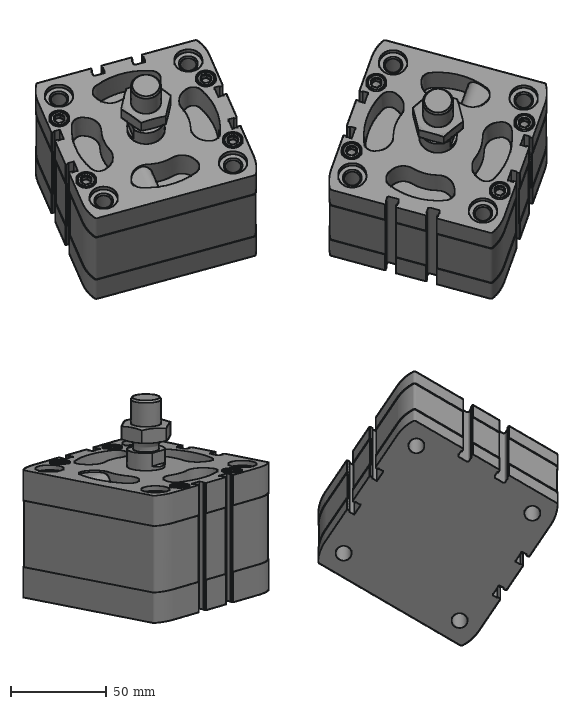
import cadquery as cq
import math


total_height = 106.4
housing_height = 69.0
cap_height = 16.5

cap_width = 95.5
barrel_inset = 0.35
barrel_width = cap_width - 2 * barrel_inset
crown_start = 35.8
crown_radius = 23.5
corner_radius = 1.4

slot_offset = 11.25
slot_mouth_width = 5.5
slot_inner_width = 6.5
slot_lip = 1.8
slot_depth = 4.8
side_slot_depth = 5.2
side_slot_floor_radius = 0.9
slot_lead_in = 0.3

mount_pitch = 72.0
mount_bore = 8.38
mount_chamfer_diameter = 10.0
mount_counterbore = 15.0
mount_counterbore_depth = 2.6

screw_pitch_x = 43.4
screw_pitch_y = 81.6
screw_recess_diameter = 10.7
screw_recess_depth = 2.0
screw_head_diameter = 10.0
screw_head_top_diameter = 8.57
screw_head_chamfer_height = 0.6
socket_across_flats = 5.0
socket_lead_in_diameter = 6.0
socket_depth = 3.0
socket_cone_height = 1.4

pocket_outer_radius = 39.1
pocket_inner_radius = 23.5
pocket_end_distance = 3.8
pocket_end_tilt = 26.0
pocket_outer_fillet = 5.5
pocket_inner_fillet = 9.0
pocket_depth = 14.8
pocket_draft = 3.0

port_boss_diameter = 13.5
port_boss_y = -11.3
port_boss_drop = 1.0

rod_diameter = 20.0
rod_shoulder_z = 78.4
rod_flats_width = 17.0
rod_flats_length = 7.1
rod_flats_runout_angle = 30.0
neck_diameter = 13.5
neck_end_z = 80.7
neck_fillet = 0.8
neck_foot_height = 0.8
neck_foot_flare = 0.15
neck_runout_angle = 20.0
thread_diameter = 16.0
thread_tip_diameter = 14.38
thread_tip_length = 1.2

nut_across_flats = 24.0
nut_height = 8.0
nut_bottom_z = 84.3
nut_chamfer_diameter = 23.6
nut_chamfer_angle = 15.0


def cut_each(body, cutters):
    for cutter in cutters.vals():
        body = body.cut(cq.Workplane(cutter))
    return body


def hexagon(across_flats):
    """Hexagon on XY with flats facing +X and -X."""
    corner_circle = across_flats / math.cos(math.pi / 6)
    return cq.Workplane("XY").transformed(rotate=(0, 0, 30)).polygon(6, corner_circle)


def housing_section(width, height):
    """Prism with flat left and right sides and crowned ends on the front and back."""
    half = width / 2
    crown_drop = crown_radius - math.sqrt(crown_radius**2 - (half - crown_start) ** 2)
    side_end = half - crown_drop
    return (
        cq.Workplane("XY")
        .moveTo(-crown_start, half)
        .lineTo(crown_start, half)
        .radiusArc((half, side_end), crown_radius)
        .lineTo(half, -side_end)
        .radiusArc((crown_start, -half), crown_radius)
        .lineTo(-crown_start, -half)
        .radiusArc((-half, -side_end), crown_radius)
        .lineTo(-half, side_end)
        .radiusArc((-crown_start, half), crown_radius)
        .close()
        .extrude(height)
        .edges("|Z and (>X or <X)")
        .fillet(corner_radius)
    )


def slot_mouth(face):
    """Slot opening at X = 0 through a +Y face, with both edges chamfered."""
    half_mouth = slot_mouth_width / 2
    lip_end = cap_width / 2 - slot_lip
    return (
        cq.Workplane("XY")
        .moveTo(-half_mouth, lip_end)
        .lineTo(half_mouth, lip_end)
        .lineTo(half_mouth, face - slot_lead_in)
        .lineTo(half_mouth + slot_lead_in, face)
        .lineTo(-half_mouth - slot_lead_in, face)
        .lineTo(-half_mouth, face - slot_lead_in)
        .close()
        .extrude(housing_height)
    )


def slot_chamber(depth):
    """Wide inner part of a slot, behind its mouth."""
    chamber_depth = depth - slot_lip
    chamber_y = cap_width / 2 - slot_lip - chamber_depth / 2
    chamber = cq.Workplane("XY").rect(slot_inner_width, chamber_depth).extrude(housing_height)
    return chamber.translate((0, chamber_y, 0))


def slot_pair(slot, turn):
    """Two copies of a slot, side by side on the face reached by turning +Y about Z."""
    pair = cq.Workplane("XY")
    for x in (-slot_offset, slot_offset):
        pair = pair.add(slot.translate((x, 0, 0)).rotate((0, 0, 0), (0, 0, 1), turn))
    return pair


def cut_slots(section, width):
    """Cut slot pairs in the back, front and left of a section; the left pair has rounded floors."""
    mouth = slot_mouth(width / 2)
    square_slot = mouth.union(slot_chamber(slot_depth))
    rounded_chamber = slot_chamber(side_slot_depth).edges("|Z and <Y").fillet(side_slot_floor_radius)
    rounded_slot = mouth.union(rounded_chamber)
    for slot, turn in ((square_slot, 0), (square_slot, 180), (rounded_slot, 90)):
        section = cut_each(section, slot_pair(slot, turn))
    return section


def pocket_end_corner(radius, end_distance):
    """Point where the straight +X end of the pocket meets an arc about the cylinder axis."""
    angle = math.acos(end_distance / radius) - math.radians(pocket_end_tilt)
    return (radius * math.cos(angle), radius * math.sin(angle))


def pocket_outline(inset, z):
    """Kidney-shaped wire on the +Y side, shrunk evenly by the inset."""
    outer_r = pocket_outer_radius - inset
    inner_r = pocket_inner_radius + inset
    end_distance = pocket_end_distance - inset
    outer_x, outer_y = pocket_end_corner(outer_r, end_distance)
    inner_x, inner_y = pocket_end_corner(inner_r, end_distance)
    outline = (
        cq.Sketch()
        .arc((-outer_x, outer_y), (0, outer_r), (outer_x, outer_y))
        .segment((outer_x, outer_y), (inner_x, inner_y))
        .arc((inner_x, inner_y), (0, inner_r), (-inner_x, inner_y))
        .segment((-inner_x, inner_y), (-outer_x, outer_y))
        .assemble()
        .vertices(">Y")
        .fillet(pocket_outer_fillet - inset)
        .reset()
        .vertices("<Y")
        .fillet(pocket_inner_fillet - inset)
    )
    return outline.reset().faces().val().outerWire().translate(cq.Vector(0, 0, z))


def pocket_cutter():
    """Drafted kidney pocket that narrows from the top face to its floor."""
    floor_inset = pocket_depth * math.tan(math.radians(pocket_draft))
    rim = pocket_outline(0, housing_height)
    floor = pocket_outline(floor_inset, housing_height - pocket_depth)
    return cq.Workplane("XY").add(cq.Solid.makeLoft([rim, floor], True))


def port_boss():
    """Round-topped boss along X that continues level to the -Y end of the pocket."""
    radius = port_boss_diameter / 2
    top_z = housing_height - port_boss_drop
    bottom_z = housing_height - pocket_depth
    crest_y = port_boss_y
    end_y = -cap_width / 2
    return (
        cq.Workplane("YZ")
        .moveTo(end_y, top_z)
        .lineTo(crest_y, top_z)
        .radiusArc((crest_y + radius, top_z - radius), radius)
        .lineTo(crest_y + radius, bottom_z)
        .lineTo(end_y, bottom_z)
        .close()
        .extrude(cap_width / 2)
    )


def pockets():
    pocket = pocket_cutter()
    cutters = cq.Workplane("XY")
    for angle in (0, 90, 180):
        cutters = cutters.add(pocket.rotate((0, 0, 0), (0, 0, 1), angle))
    port_side_pocket = pocket.rotate((0, 0, 0), (0, 0, 1), -90)
    return cutters.add(port_side_pocket.cut(port_boss()))


def mounting_hole_cutter():
    """Through bore with a counterbore in the top face and a chamfer at its floor."""
    bore_r = mount_bore / 2
    chamfer_r = mount_chamfer_diameter / 2
    counterbore_r = mount_counterbore / 2
    floor_z = housing_height - mount_counterbore_depth
    return (
        cq.Workplane("XZ")
        .moveTo(0, 0)
        .lineTo(bore_r, 0)
        .lineTo(bore_r, floor_z - (chamfer_r - bore_r))
        .lineTo(chamfer_r, floor_z)
        .lineTo(counterbore_r, floor_z)
        .lineTo(counterbore_r, housing_height)
        .lineTo(0, housing_height)
        .close()
        .revolve(360, (0, 0), (0, 1))
    )


def screw_recess_cutter():
    """Ring gap, head chamfer and hexagon socket around one flush screw head."""
    top = housing_height
    recess_r = screw_recess_diameter / 2
    head_r = screw_head_diameter / 2
    ring = (
        cq.Workplane("XZ")
        .moveTo(recess_r, top)
        .lineTo(recess_r, top - screw_recess_depth)
        .lineTo(head_r, top - screw_recess_depth)
        .lineTo(head_r, top - screw_head_chamfer_height)
        .lineTo(screw_head_top_diameter / 2, top)
        .close()
        .revolve(360, (0, 0), (0, 1))
    )
    floor_z = top - socket_depth
    flats_r = socket_across_flats / 2
    lead_r = socket_lead_in_diameter / 2
    socket = hexagon(socket_across_flats).extrude(socket_depth).translate((0, 0, floor_z))
    floor_cone = cq.Workplane("XY").add(
        cq.Solid.makeCone(0, flats_r, socket_cone_height, cq.Vector(0, 0, floor_z - socket_cone_height))
    )
    lead_height = lead_r - flats_r
    lead_in = cq.Workplane("XY").add(
        cq.Solid.makeCone(flats_r, lead_r, lead_height, cq.Vector(0, 0, top - lead_height))
    )
    return ring, socket.union(floor_cone).union(lead_in)


def make_housing():
    barrel_height = housing_height - 2 * cap_height
    cap = cut_slots(housing_section(cap_width, cap_height), cap_width)
    barrel = cut_slots(housing_section(barrel_width, barrel_height), barrel_width)
    barrel = barrel.translate((0, 0, cap_height))
    body = cap.union(barrel).union(cap.translate((0, 0, housing_height - cap_height)))
    body = cut_each(body, pockets())
    mounting_hole = mounting_hole_cutter()
    ring, socket = screw_recess_cutter()
    for sx in (-0.5, 0.5):
        for sy in (-0.5, 0.5):
            body = body.cut(mounting_hole.translate((sx * mount_pitch, sy * mount_pitch, 0)))
            screw_place = (sx * screw_pitch_x, sy * screw_pitch_y, 0)
            body = body.cut(ring.translate(screw_place))
            body = body.cut(socket.translate(screw_place))
    return body


def make_rod():
    """Rod end standing on the housing: shank with wrench flats, neck and thread."""
    rod_r = rod_diameter / 2
    neck_r = neck_diameter / 2
    thread_r = thread_diameter / 2
    tip_r = thread_tip_diameter / 2
    runout_angle = math.radians(neck_runout_angle)
    cone_start_r = neck_r + neck_fillet * (1 - math.cos(runout_angle))
    cone_start_z = neck_end_z + neck_fillet * math.sin(runout_angle)
    thread_start_z = cone_start_z + (thread_r - cone_start_r) / math.tan(runout_angle)
    rod = (
        cq.Workplane("XZ")
        .moveTo(0, housing_height)
        .lineTo(rod_r, housing_height)
        .lineTo(rod_r, rod_shoulder_z)
        .lineTo(neck_r + neck_foot_flare, rod_shoulder_z)
        .lineTo(neck_r, rod_shoulder_z + neck_foot_height)
        .lineTo(neck_r, neck_end_z)
        .radiusArc((cone_start_r, cone_start_z), neck_fillet)
        .lineTo(thread_r, thread_start_z)
        .lineTo(thread_r, total_height - thread_tip_length)
        .lineTo(tip_r, total_height)
        .lineTo(0, total_height)
        .close()
        .revolve(360, (0, 0), (0, 1))
    )
    flat_y = rod_flats_width / 2
    flat_end_z = rod_shoulder_z - rod_flats_length
    runout_drop = (rod_r - flat_y) * math.tan(math.radians(rod_flats_runout_angle))
    flat = (
        cq.Workplane("YZ")
        .moveTo(flat_y, rod_shoulder_z)
        .lineTo(flat_y, flat_end_z)
        .lineTo(rod_r, flat_end_z - runout_drop)
        .lineTo(rod_r, rod_shoulder_z)
        .close()
        .extrude(rod_r, both=True)
    )
    return rod.cut(flat).cut(flat.mirror("XZ"))


def make_nut():
    """Hexagon nut with both faces chamfered at the corners."""
    corner_r = nut_across_flats / 2 / math.cos(math.pi / 6)
    face_r = nut_chamfer_diameter / 2
    drop = (corner_r - face_r) * math.tan(math.radians(nut_chamfer_angle))
    envelope = (
        cq.Workplane("XZ")
        .moveTo(thread_diameter / 2, 0)
        .lineTo(face_r, 0)
        .lineTo(corner_r, drop)
        .lineTo(corner_r, nut_height - drop)
        .lineTo(face_r, nut_height)
        .lineTo(thread_diameter / 2, nut_height)
        .close()
        .revolve(360, (0, 0), (0, 1))
    )
    nut = hexagon(nut_across_flats).extrude(nut_height).intersect(envelope)
    return nut.translate((0, 0, nut_bottom_z))


housing = make_housing()
rod = make_rod()
nut = make_nut()

result = cq.Compound.makeCompound([housing.val(), rod.val(), nut.val()])